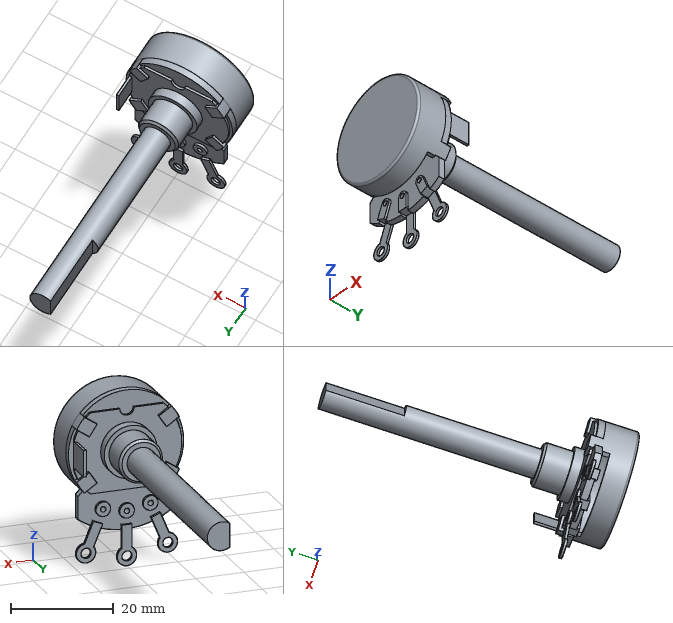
import cadquery as cq
import math

overall_length = 61.0
overall_width = 24.0
sheet = 0.55

can_radius = overall_width / 2
can_wall = 0.6
can_rim = 7.1
can_back_fillet = 0.5
window_floor = 5.1
window_top = -8.0

tab_width = 2.9
tab_inner_end = 8.7
tab_angle = 34.0
tab_angles = [tab_angle, 180 - tab_angle, 180 + tab_angle, 360 - tab_angle]

wafer_thickness = 1.45
wafer_front = can_rim + wafer_thickness
skirt_radius = 16.9
skirt_half_width = 10.0
skirt_corner_height = -8.85

plate_front = wafer_front + sheet
plate_radius = can_radius - can_wall
plate_half_height = 8.4
plate_side = 10.9
plate_notch_radius = 1.45
ear_width = 5.5
ear_end = 14.1

collar_radius = 5.5
collar_end = 11.1
bushing_radius = 4.5
bushing_end = 17.0
bushing_chamfer = 0.5
shaft_radius = 3.0
shaft_flat_offset = 1.7
shaft_flat_length = 16.1

terminal_angles = [-22.4, 0.0, 22.4]
terminal_width = 2.1
rivet_distance = 12.95
rivet_hole_radius = 0.55
rivet_head_radius = 1.5
bend_distance = 16.35
lug_distance = 22.3
lug_radius = 2.0
lug_hole_radius = 1.05


def cross_plane(y):
    """XZ workplane at depth y; a negative extrusion runs towards +Y."""
    return cq.Workplane("XZ", origin=(0, y, 0))


def disc(radius, y_start, y_end, z=0.0):
    """Cylinder along Y, centred at x = 0 and the given height."""
    return cross_plane(y_start).center(0, z).circle(radius).extrude(y_start - y_end)


def block(x_range, y_range, z_range):
    """Box given by its (low, high) limits on each axis."""
    ranges = (x_range, y_range, z_range)
    sizes = [high - low for low, high in ranges]
    corner = tuple(low for low, high in ranges)
    return cq.Workplane("XY").box(*sizes, centered=False).translate(corner)


def turn(shape, angle):
    """Turn a shape about the shaft axis, from +X towards +Z."""
    return shape.rotate((0, 0, 0), (0, 1, 0), -angle)


def tab_strip(inner_end, y_start, y_end):
    """Tab-wide radial strip along +X, ending on the can's outer surface."""
    half = tab_width / 2
    strip = block((inner_end, can_radius), (y_start, y_end), (-half, half))
    return strip.intersect(disc(can_radius, y_start, y_end))


def tab_wall():
    """Part of a tab that stands on the rim and passes the wafer and the plate."""
    return tab_strip(0, can_rim, plate_front).cut(disc(plate_radius, can_rim, plate_front))


def make_can():
    """Hollow cup with an open window at the bottom and four tabs folded over the plate."""
    can = disc(can_radius, 0, can_rim).faces("<Y").edges().fillet(can_back_fillet)
    can = can.cut(disc(can_radius - can_wall, can_wall, can_rim))
    window = block(
        (-can_radius, can_radius), (window_floor, can_rim), (-can_radius, window_top)
    )
    can = can.cut(window)
    folded_part = tab_strip(tab_inner_end, plate_front, plate_front + sheet)
    tab = tab_wall().union(folded_part)
    for angle in tab_angles:
        can = can.union(turn(tab, angle))
    return can


def wafer_blank():
    """Round wafer with a wide skirt below it that carries the terminals."""
    corner_drop = math.sqrt(skirt_radius**2 - skirt_half_width**2)
    shoulder = skirt_half_width + skirt_corner_height
    skirt = (
        cross_plane(can_rim)
        .moveTo(0, shoulder)
        .lineTo(skirt_half_width, skirt_corner_height)
        .lineTo(skirt_half_width, -corner_drop)
        .threePointArc((0, -skirt_radius), (-skirt_half_width, -corner_drop))
        .lineTo(-skirt_half_width, skirt_corner_height)
        .close()
        .extrude(-wafer_thickness)
    )
    return disc(can_radius, can_rim, wafer_front).union(skirt)


def make_wafer():
    """Wafer with slots for the tabs and a rivet head, hole and notch for each terminal."""
    wafer = wafer_blank()
    for angle in tab_angles:
        wafer = wafer.cut(turn(tab_wall(), angle))

    half = terminal_width / 2
    rivet_head = disc(rivet_head_radius, wafer_front, plate_front, z=-rivet_distance)
    rivet_hole = disc(rivet_hole_radius, can_rim, plate_front, z=-rivet_distance)
    bend_notch = block(
        (-half, half), (can_rim, wafer_front), (-skirt_radius, sheet - bend_distance)
    )
    for angle in terminal_angles:
        wafer = wafer.union(turn(rivet_head, angle))
        wafer = wafer.cut(turn(rivet_hole, angle)).cut(turn(bend_notch, angle))
    return wafer


def make_mounting_plate():
    """Trimmed disc with a round notch on top and an upright locating ear."""
    plate_outline = block(
        (-plate_radius, plate_side),
        (wafer_front, plate_front),
        (-plate_half_height, plate_half_height),
    )
    plate = disc(plate_radius, wafer_front, plate_front).intersect(plate_outline)
    plate = plate.cut(disc(plate_notch_radius, wafer_front, plate_front, z=plate_half_height))
    half = ear_width / 2
    ear = block((plate_side - sheet, plate_side), (wafer_front, ear_end), (-half, half))
    return plate.union(ear)


def make_shaft():
    shaft = disc(shaft_radius, bushing_end, overall_length)
    flat_cut = block(
        (-shaft_radius, -shaft_flat_offset),
        (overall_length - shaft_flat_length, overall_length),
        (-shaft_radius, shaft_radius),
    )
    return shaft.cut(flat_cut)


def make_base():
    """Wafer, mounting plate, bushing and shaft as one solid."""
    collar = disc(collar_radius, plate_front, collar_end)
    bushing = disc(bushing_radius, collar_end, bushing_end)
    bushing = bushing.faces(">Y").edges().chamfer(bushing_chamfer)
    base = make_wafer().union(make_mounting_plate())
    return base.union(collar).union(bushing).union(make_shaft())


def make_terminal(angle):
    """Riveted strip behind the wafer, a bend through its notch and a lug in front."""
    half = terminal_width / 2
    strip_back = can_rim - sheet
    bend_inner = bend_distance - sheet
    strip = block((-half, half), (strip_back, can_rim), (-bend_distance, -rivet_distance))
    strip = strip.union(disc(half, strip_back, can_rim, z=-rivet_distance))
    strip = strip.cut(disc(rivet_hole_radius, strip_back, can_rim, z=-rivet_distance))

    bend = block((-half, half), (strip_back, plate_front), (-bend_distance, -bend_inner))

    lug = block((-half, half), (wafer_front, plate_front), (-lug_distance, -bend_inner))
    lug = lug.union(disc(lug_radius, wafer_front, plate_front, z=-lug_distance))
    lug = lug.cut(disc(lug_hole_radius, wafer_front, plate_front, z=-lug_distance))
    return turn(strip.union(bend).union(lug), angle)


can = make_can()
base = make_base()
terminals = [make_terminal(angle) for angle in terminal_angles]

result = cq.Compound.makeCompound(
    [
        can.solids().val(),
        base.solids().val(),
        *[terminal.solids().val() for terminal in terminals],
    ]
)